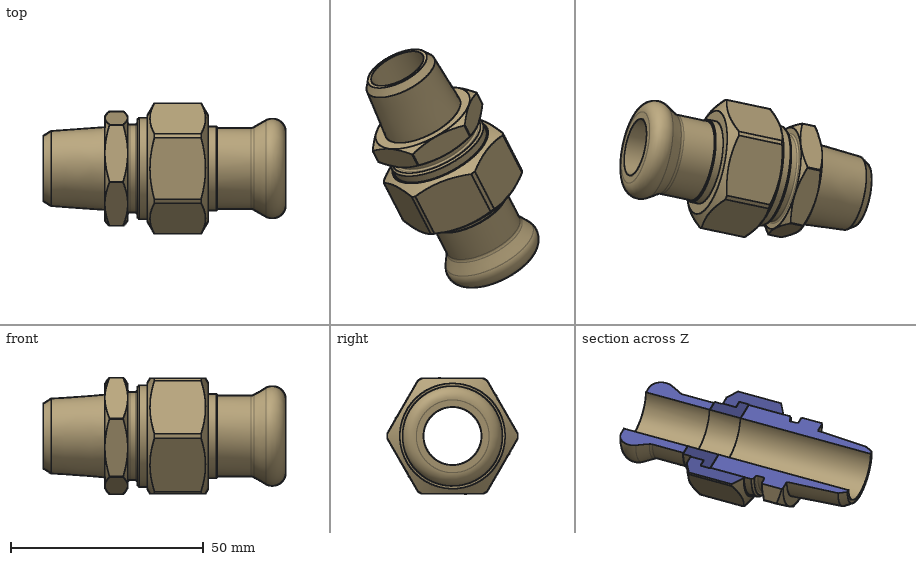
import cadquery as cq
import math


total_length = 63.0
bore_radius = 7.5
cone_angle = math.radians(30)

tip_radius = 8.45
taper_start_x = 2.1
taper_start_radius = 9.75
taper_end_radius = 10.8
hex_start_x = 16.0
hex_end_x = 22.0
hex_across_flats = 26.95
hex_corner_radius = 15.5
hex_face_radius = 13.4
hex_turn = 43.0
neck_radius = 11.45
neck_fillet = 0.45
thread_start_x = 24.4
thread_radius = 13.2
thread_chamfer = 0.55

nut_start_x = 26.95
nut_end_x = 42.9
nut_across_flats = 30.0
nut_corner_radius = 16.98
nut_face_radius = 13.7
nut_turn = 0

seat_x = 36.55
flange_end_x = 39.05
collar_end_x = 45.2
collar_radius = 10.95
collar_chamfer = 0.25

tube_radius = 10.5
bead_radius = 3.5
bead_outer_radius = 13.0
flare_fillet = 1.65


def ring(start_x, end_x, outer_radius, inner_radius):
    """Plain round sleeve on the X axis."""
    return (
        cq.Workplane("YZ", origin=(start_x, 0, 0))
        .circle(outer_radius)
        .circle(inner_radius)
        .extrude(end_x - start_x)
    )


def revolve_about_x(profile):
    """Turn a closed (x, radius) profile about the X axis."""
    return profile.close().revolve(360, (0, 0, 0), (1, 0, 0))


def bevelled_hexagon(start_x, end_x, across_flats, corner_radius, face_radius, turn):
    """Hexagonal prism with rounded corners and a conical bevel at both ends."""
    across_corners = across_flats / math.cos(math.pi / 6)
    prism = (
        cq.Workplane("YZ", origin=(start_x, 0, 0))
        .transformed(rotate=(0, 0, turn))
        .polygon(6, across_corners)
        .extrude(end_x - start_x)
    )
    bevel_length = (corner_radius - face_radius) * math.tan(cone_angle)
    envelope = revolve_about_x(
        cq.Workplane("XY").polyline([
            (start_x, 0),
            (start_x, face_radius),
            (start_x + bevel_length, corner_radius),
            (end_x - bevel_length, corner_radius),
            (end_x, face_radius),
            (end_x, 0),
        ])
    )
    return prism.intersect(envelope)


def make_threaded_end():
    tapered_spigot = revolve_about_x(
        cq.Workplane("XY").polyline([
            (0, 0),
            (0, tip_radius),
            (taper_start_x, taper_start_radius),
            (hex_start_x, taper_end_radius),
            (hex_start_x, 0),
        ])
    )
    hexagon = bevelled_hexagon(
        hex_start_x, hex_end_x, hex_across_flats, hex_corner_radius, hex_face_radius, hex_turn
    )
    neck_and_thread = revolve_about_x(
        cq.Workplane("XY")
        .moveTo(hex_end_x, 0)
        .lineTo(hex_end_x, neck_radius + neck_fillet)
        .radiusArc((hex_end_x + neck_fillet, neck_radius), -neck_fillet)
        .lineTo(thread_start_x - neck_fillet, neck_radius)
        .radiusArc((thread_start_x, neck_radius + neck_fillet), -neck_fillet)
        .lineTo(thread_start_x, thread_radius - thread_chamfer)
        .lineTo(thread_start_x + thread_chamfer, thread_radius)
        .lineTo(seat_x, thread_radius)
        .lineTo(seat_x, 0)
    )
    bore = cq.Workplane("YZ").circle(bore_radius).extrude(seat_x)
    return tapered_spigot.union(hexagon).union(neck_and_thread).cut(bore)


def make_union_nut():
    hexagon = bevelled_hexagon(
        nut_start_x, nut_end_x, nut_across_flats, nut_corner_radius, nut_face_radius, nut_turn
    )
    thread_bore = (
        cq.Workplane("YZ", origin=(nut_start_x, 0, 0))
        .circle(thread_radius)
        .extrude(flange_end_x - nut_start_x)
    )
    collar_hole = (
        cq.Workplane("YZ", origin=(flange_end_x, 0, 0))
        .circle(collar_radius)
        .extrude(nut_end_x - flange_end_x)
    )
    return hexagon.cut(thread_bore).cut(collar_hole)


def make_tail_collar():
    flange = ring(seat_x, flange_end_x, thread_radius, bore_radius)
    sleeve = (
        ring(flange_end_x, collar_end_x, collar_radius, bore_radius)
        .faces(">X")
        .edges(cq.selectors.RadiusNthSelector(1))
        .chamfer(collar_chamfer)
    )
    return flange.union(sleeve)


def make_press_socket():
    bead_x = total_length - bead_radius
    bead_centre_radius = bead_outer_radius - bead_radius
    flare_end_x = bead_x - bead_radius * math.sin(cone_angle)
    flare_end_radius = bead_centre_radius + bead_radius * math.cos(cone_angle)

    fillet_end_radius = tube_radius + flare_fillet * (1 - math.cos(cone_angle))
    fillet_end_x = flare_end_x - (flare_end_radius - fillet_end_radius) / math.tan(cone_angle)
    fillet_start_x = fillet_end_x - flare_fillet * math.sin(cone_angle)

    return revolve_about_x(
        cq.Workplane("XY")
        .moveTo(collar_end_x, bore_radius)
        .lineTo(collar_end_x, tube_radius)
        .lineTo(fillet_start_x, tube_radius)
        .radiusArc((fillet_end_x, fillet_end_radius), -flare_fillet)
        .lineTo(flare_end_x, flare_end_radius)
        .threePointArc((bead_x, bead_outer_radius), (total_length, bead_centre_radius))
        .lineTo(total_length, bore_radius)
    )


threaded_end = make_threaded_end()
union_nut = make_union_nut()
tail_collar = make_tail_collar()
press_socket = make_press_socket()

result = cq.Compound.makeCompound([
    threaded_end.val(),
    union_nut.val(),
    tail_collar.val(),
    press_socket.val(),
])